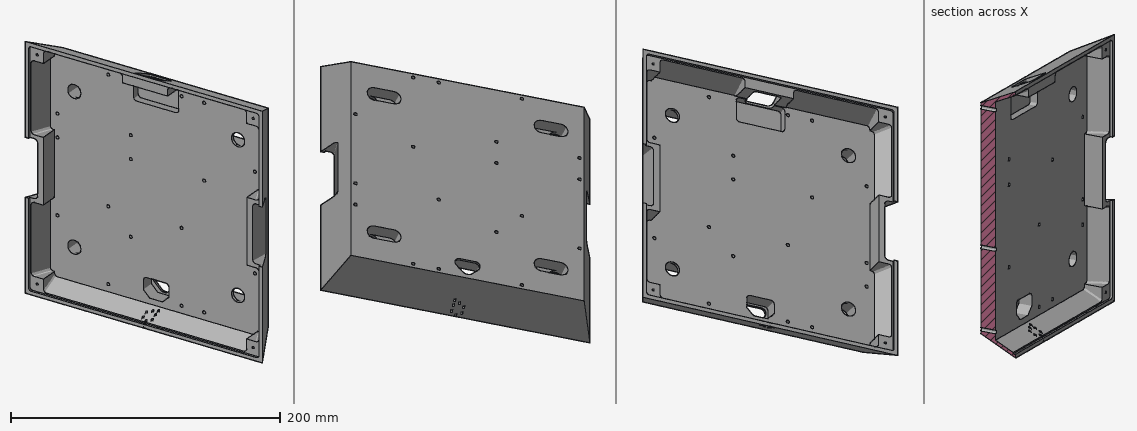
import cadquery as cq
import math

side = 210.0
depth = 30.0
side_inset = 14.0
lean = side_inset / depth

rim = 3.2
recess_depth = 1.9
recess_corner = 2.3

wall = 3.4
floor_y = 17.0
wall_blend = 2.5

post_reach = 15.1
post_hole_edge = 9.5
post_hole_diameter = 1.7
post_hole_depth = 8.5

grip_length = 50.0
grip_front_inset = 9.9
grip_back_inset = 8.0
grip_back_y = 18.0
grip_blend = 3.2
grip_block_length = 56.5
grip_block_reach = 15.0

entry_width = 40.0
entry_block_reach = 11.8
port_width = 22.7
port_front_y = 4.2
port_back_y = 22.5
port_front_corner = 2.0
port_back_corner = 3.5
pocket_top = 92.6
pocket_height = 20.4
pocket_floor_y = 23.3
pocket_corner = 3.0

mount_x = 72.5
mount_z = 64.9
mount_diameter = 11.5
mount_slot_travel = 14.7
mount_lip = 2.5
pin_near = 22.5
pin_mid = 42.5
pin_far = 87.4
pin_diameter = 2.5

socket_z = -80.6
socket_width = 22.7
socket_height = 16.4
socket_chamfer = 5.7
socket_corner = 3.2
socket_lower_corner = 1.3
socket_lip = 1.58
socket_lip_corner = 3.8
socket_lip_chamfer = 7.5
socket_lip_thickness = 1.9

vent_diameter = 1.5
vent_ring_y = 7.8
vent_ring_radius = 4.6
vent_count = 6
vent_extra = (4.2, 13.9)

half = side / 2


def plane_at(y):
    """Sketch plane facing into the part, with local x = X and local y = -Z."""
    return cq.Workplane(cq.Plane((0, y, 0), (1, 0, 0), (0, 1, 0)))


def box(x0, x1, y0, y1, z0, z1):
    return cq.Workplane("XY").box(x1 - x0, y1 - y0, z1 - z0, centered=False).translate((x0, y0, z0))


def frustum(offset, y0, y1):
    """Square frustum parallel to the outer sides, inset by offset."""
    front = side - 2 * (offset + lean * y0)
    back = side - 2 * (offset + lean * y1)
    return plane_at(y0).rect(front, front).workplane(offset=y1 - y0).rect(back, back).loft(combine=True)


def floor_holes(points, diameter):
    """Round holes through the floor at (x, z) points."""
    points = [(x, -z) for x, z in points]
    return plane_at(floor_y).pushPoints(points).circle(diameter / 2).extrude(depth - floor_y)


def mount_slots(points):
    """Slots in the back face, as wide as the mounting holes, running from each hole toward X = 0."""
    slot_start = floor_y + mount_lip
    radius = mount_diameter / 2
    slots = cq.Workplane("XY")
    for x, z in points:
        far_x = x - math.copysign(mount_slot_travel, x)
        run = box(*sorted((x, far_x)), slot_start, depth, z - radius, z + radius)
        far_end = plane_at(slot_start).center(far_x, -z).circle(radius).extrude(depth - slot_start)
        slots = slots.union(run).union(far_end)
    return slots


def make_cavity():
    """Cavity with the posts and blocks left standing."""
    cavity = frustum(wall, recess_depth, floor_y)
    post_inner = half - post_reach
    block_inner = half - grip_block_reach
    for sx in (-1, 1):
        for sz in (-1, 1):
            xs = sorted((sx * post_inner, sx * half))
            zs = sorted((sz * post_inner, sz * half))
            cavity = cavity.cut(box(*xs, 0, depth, *zs))
        xs = sorted((sx * block_inner, sx * half))
        cavity = cavity.cut(box(*xs, 0, depth, -grip_block_length / 2, grip_block_length / 2))

    block_bottom = half - entry_block_reach
    trim_bottom = block_bottom - 2 * wall_blend
    cavity = cavity.cut(box(-entry_width / 2, entry_width / 2, 0, depth, trim_bottom, half))

    cavity = cavity.edges("(not #Y) and (not |Y)").fillet(wall_blend)

    trim_half = entry_width / 2 + wall_blend
    return cavity.union(box(-trim_half, trim_half, recess_depth, floor_y, trim_bottom, block_bottom))


def make_grip():
    """Wedge-shaped cut through the -X side, its two long inner edges rounded."""
    front_x = -half + grip_front_inset
    back_x = -half + grip_back_inset
    slope = (back_x - front_x) / (grip_back_y - recess_depth)
    wedge = (
        cq.Workplane("XY", origin=(0, 0, -grip_length / 2))
        .polyline([
            (-side, 0),
            (front_x - slope * recess_depth, 0),
            (front_x + slope * (depth - recess_depth), depth),
            (-side, depth),
        ])
        .close()
        .extrude(grip_length)
    )
    inner_edges = cq.selectors.BoxSelector((-half, 0, -half), (0, depth, half))
    wedge = wedge.edges(inner_edges).edges("not |Z").fillet(grip_blend)
    return wedge.intersect(box(-side, 0, 0, grip_back_y, -half, half))


def make_entry():
    """Cable port through the top wall and its block, joined to the floor pocket."""
    port_bottom = pocket_top - pocket_height / 2
    port = box(-port_width / 2, port_width / 2, port_front_y, port_back_y, port_bottom, half)
    port = port.edges("|Z and >Y").fillet(port_back_corner)
    port = port.edges("|Z and <Y").fillet(port_front_corner)
    pocket = box(
        -entry_width / 2, entry_width / 2,
        floor_y, pocket_floor_y,
        pocket_top - pocket_height, pocket_top,
    )
    return port.union(pocket.edges("|Y").fillet(pocket_corner))


def house_outline(y, width, height, chamfer, length):
    """Prism with its two lower corners cut at 45 degrees, centred on the socket."""
    w = width / 2
    h = height / 2
    return (
        plane_at(y)
        .center(0, -socket_z)
        .polyline([(-w, -h), (w, -h), (w, h - chamfer), (w - chamfer, h), (chamfer - w, h), (-w, h - chamfer)])
        .close()
        .extrude(length)
    )


def make_socket():
    """Socket opening with a thin lip left around its back end."""
    body_depth = depth - socket_lip_thickness - floor_y
    body = house_outline(floor_y, socket_width, socket_height, socket_chamfer, body_depth)
    body = body.edges("|Y and (not >Z)").fillet(socket_lower_corner)
    body = body.edges("|Y").edges(">Z").fillet(socket_corner)
    opening = house_outline(
        floor_y,
        socket_width - 2 * socket_lip,
        socket_height - 2 * socket_lip,
        socket_lip_chamfer,
        depth - floor_y,
    )
    return body.union(opening.edges("|Y").fillet(socket_lip_corner))


def make_vents():
    """Holes square to the leaning bottom wall: a hexagon and one extra hole."""
    points = [vent_extra]
    for i in range(vent_count):
        angle = 2 * math.pi * i / vent_count + math.pi / 2
        points.append((vent_ring_radius * math.cos(angle), vent_ring_y + vent_ring_radius * math.sin(angle)))

    outward = cq.Vector(0, -lean, -1)
    vents = cq.Workplane("XY")
    for x, y in points:
        on_wall = cq.Vector(x, y, -half + wall + lean * y)
        start = on_wall - outward * wall
        vents = vents.add(cq.Solid.makeCylinder(vent_diameter / 2, 3 * wall, start, outward))
    return vents.combine()


recess_side = side - 2 * rim
result = frustum(0, 0, depth)
recess = plane_at(0).rect(recess_side, recess_side).extrude(recess_depth).edges("|Y").fillet(recess_corner)
result = result.cut(recess).cut(make_cavity())

post_pitch = side - 2 * post_hole_edge
post_holes = (
    plane_at(recess_depth)
    .rect(post_pitch, post_pitch, forConstruction=True)
    .vertices()
    .circle(post_hole_diameter / 2)
    .extrude(post_hole_depth)
)
result = result.cut(post_holes)

grip = make_grip()
result = result.cut(grip).cut(grip.mirror("YZ"))

mount_points = [(sx * mount_x, sz * mount_z) for sx in (-1, 1) for sz in (-1, 1)]
pin_rows = {
    pin_far: (-pin_mid, pin_near, pin_mid),
    pin_mid: (-pin_far, -pin_near, pin_far),
    pin_near: (-pin_far, -pin_near, pin_mid),
    -pin_near: (-pin_mid, pin_near, pin_far),
    -pin_mid: (-pin_far, -pin_near, pin_far),
    -pin_far: (-pin_mid, pin_near, pin_mid),
}
pin_points = [(x, z) for z, row in pin_rows.items() for x in row]
result = result.cut(floor_holes(mount_points, mount_diameter)).cut(mount_slots(mount_points))
result = result.cut(floor_holes(pin_points, pin_diameter))
result = result.cut(make_entry()).cut(make_socket()).cut(make_vents())